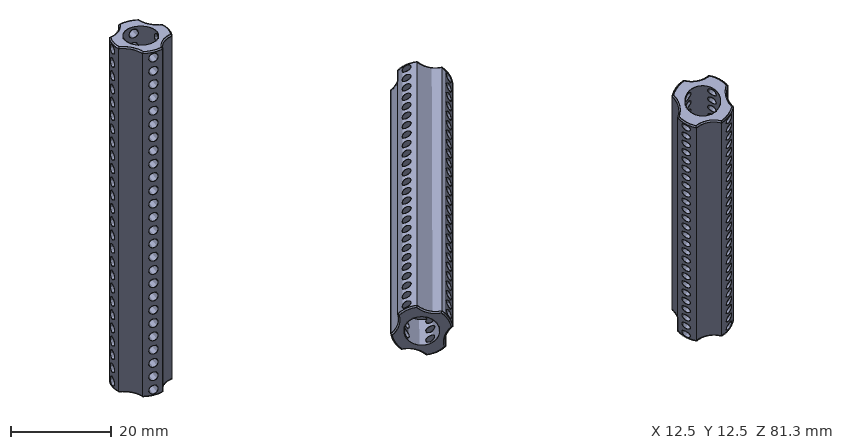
import cadquery as cq

hole_pitch = 3.125
hole_count = 26
length = hole_pitch * hole_count
outer_radius = 6.25
end_chamfer = 0.3

lobe_count = 4
lobe_spacing = 360 / lobe_count
flute_radius = 5.0
flute_center_distance = 10.0

bore_diameter = 7.1
web_hole_diameter = 3.0
web_thickness = 2.5
web_top = 3.5 * hole_pitch
web_bottom = web_top - web_thickness

side_hole_diameter = 2.0
core_diameter = 6.0


def vertical_cylinder(diameter, bottom, top):
    """Cylinder on the bar axis between two heights."""
    return cq.Workplane("XY").workplane(offset=bottom).circle(diameter / 2).extrude(top - bottom)


def fluted_bar():
    """Round bar with a flute between each pair of lobes and chamfered ends."""
    flutes = (
        cq.Workplane("XY")
        .polarArray(flute_center_distance, lobe_spacing / 2, 360, lobe_count)
        .circle(flute_radius)
        .extrude(length)
    )
    bar = vertical_cylinder(2 * outer_radius, 0, length).cut(flutes)
    return bar.faces("<Z or >Z").chamfer(end_chamfer)


def hole_row():
    """Cutter for the row of radial holes in the +X lobe."""
    centers = [(0, hole_pitch * (i + 0.5)) for i in range(hole_count)]
    pins = cq.Workplane("YZ").pushPoints(centers).circle(side_hole_diameter / 2).extrude(outer_radius)
    return pins.cut(vertical_cylinder(core_diameter, 0, length))


def add_bores(bar):
    """Cut both end bores and the hole through the web between them."""
    bar = bar.cut(vertical_cylinder(bore_diameter, 0, web_bottom))
    bar = bar.cut(vertical_cylinder(bore_diameter, web_top, length))
    return bar.cut(vertical_cylinder(web_hole_diameter, web_bottom, web_top))


def add_side_holes(bar):
    """Cut the same row of radial holes into every lobe."""
    row = hole_row()
    for i in range(lobe_count):
        bar = bar.cut(row.rotate((0, 0, 0), (0, 0, 1), i * lobe_spacing))
    return bar


result = add_side_holes(add_bores(fluted_bar()))